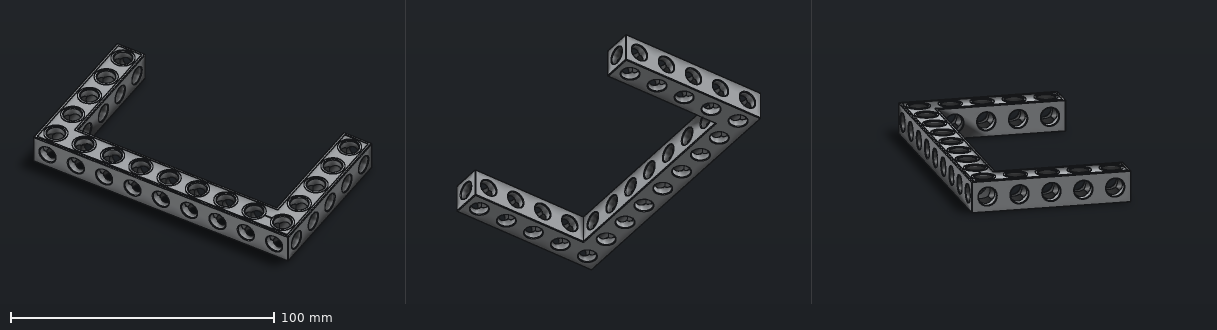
import cadquery as cq

columns = 9
rows = 5
length = 112.5
edge_chamfer = 0.3
hole_diameter = 7.0
hole_chamfer = 0.3
rim_width = 0.8
panel_depth = 0.2
bridge_width = 0.2

pitch = length / columns
depth = rows * pitch
half_length = length / 2
half_depth = depth / 2
half_height = pitch / 2
inner_half_length = half_length - pitch
inner_y = pitch - half_depth
hole_radius = hole_diameter / 2
mouth_radius = hole_radius + hole_chamfer
ring_radius = mouth_radius + rim_width
border_width = edge_chamfer + rim_width
column_places = [(i + 0.5) * pitch - half_length for i in range(columns)]
row_places = [(i + 0.5) * pitch - half_depth for i in range(rows)]
end_columns = [column_places[0], column_places[-1]]
middle_columns = column_places[1:-1]
base_row = row_places[0]
arm_rows = row_places[1:]
cells = [(x, base_row) for x in column_places]
cells += [(x, y) for x in end_columns for y in arm_rows]


def u_prism(inset, bottom, height):
    """Vertical U-shaped prism with every side moved into the material by inset."""
    outer_x = half_length - inset
    inner_x = inner_half_length + inset
    near_y = inset - half_depth
    far_y = half_depth - inset
    gap_y = inner_y - inset
    outline = [
        (-outer_x, near_y),
        (outer_x, near_y),
        (outer_x, far_y),
        (inner_x, far_y),
        (inner_x, gap_y),
        (-inner_x, gap_y),
        (-inner_x, far_y),
        (-outer_x, far_y),
    ]
    return cq.Workplane("XY").workplane(offset=bottom).polyline(outline).close().extrude(height)


def chamfered_beam():
    """Solid U with every edge chamfered except the two vertical ones in the inner corners."""
    beam = u_prism(0, -half_height, pitch)
    inner_corners = cq.selectors.BoxSelector(
        (-half_length, inner_y - hole_radius, -hole_radius),
        (half_length, inner_y + hole_radius, hole_radius),
    )
    return beam.edges(-inner_corners).chamfer(edge_chamfer)


def hole_cutter(entry, direction, hole_length):
    """Cutting shape for a straight hole with a chamfer at both mouths."""
    start = cq.Vector(*entry)
    axis = cq.Vector(*direction)
    end = start + axis * hole_length
    bore = cq.Solid.makeCylinder(hole_radius, hole_length, start, axis)
    near_mouth = cq.Solid.makeCone(mouth_radius, hole_radius, hole_chamfer, start, axis)
    far_mouth = cq.Solid.makeCone(mouth_radius, hole_radius, hole_chamfer, end, axis * -1)
    return bore.fuse(near_mouth, far_mouth)


def vertical_holes():
    """Holes along Z, one in every cell."""
    return [hole_cutter((x, y, -half_height), (0, 0, 1), pitch) for x, y in cells]


def front_to_back_holes():
    """Holes along Y: short through the base, full depth along the arms."""
    short = [hole_cutter((x, -half_depth, 0), (0, 1, 0), pitch) for x in middle_columns]
    long = [hole_cutter((x, -half_depth, 0), (0, 1, 0), depth) for x in end_columns]
    return short + long


def side_to_side_holes():
    """Holes along X: short through each arm, full length along the base."""
    short = [
        hole_cutter((x, y, 0), (1, 0, 0), pitch)
        for x in (-half_length, inner_half_length)
        for y in arm_rows
    ]
    return short + [hole_cutter((-half_length, base_row, 0), (1, 0, 0), length)]


def top_panel():
    """Shallow recess in the top face, leaving the border, the hole rings and one bridge."""
    bottom = half_height - panel_depth
    top = cq.Workplane("XY").workplane(offset=bottom)
    rings = top.pushPoints(cells).circle(ring_radius).extrude(panel_depth)
    bridge = (
        top.center(column_places[-1] - pitch / 2, base_row)
        .rect(pitch, bridge_width)
        .extrude(panel_depth)
    )
    return u_prism(border_width, bottom, panel_depth).cut(rings).cut(bridge)


beam = chamfered_beam().cut(top_panel())
holes = vertical_holes() + front_to_back_holes() + side_to_side_holes()
result = cq.Workplane(beam.val().cut(*holes).Solids()[0])